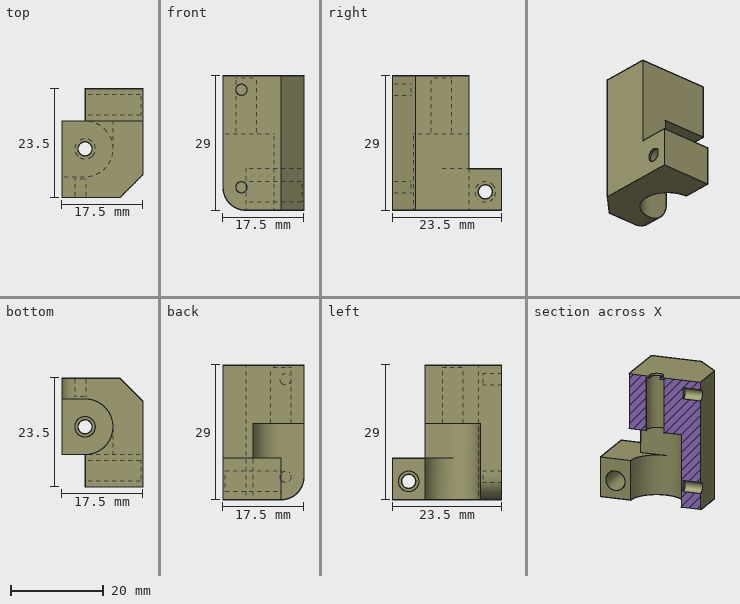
import cadquery as cq

width = 17.5
block_depth = 16.5
height = 29.0
edge_size = 5.0

total_depth = 23.5
tab_height = 9.0
tab_start_x = 5.0

front_wall = 4.5
pocket_height = 16.5
pocket_radius = (block_depth - front_wall) / 2
pocket_x = tab_start_x
pocket_y = front_wall + pocket_radius

bore_diameter = 3.0
counterbore_diameter = 4.4
lip = 0.5
tab_hole_y = (block_depth + total_depth) / 2
tab_hole_z = 4.0
pin_diameter = 2.4
pin_x = 4.0
pin_depth = 4.0
pin_heights = (5.0, 25.98)


def box(x_range, y_range, z_range):
    """Make a box from its (start, end) limits on each axis."""
    (x0, x1), (y0, y1), (z0, z1) = x_range, y_range, z_range
    return cq.Workplane("XY").box(x1 - x0, y1 - y0, z1 - z0, centered=False).translate((x0, y0, z0))


def rod(start, direction, diameter, length):
    """Make a cylinder from its start point along a direction."""
    return cq.Workplane(cq.Solid.makeCylinder(diameter / 2, length, cq.Vector(*start), cq.Vector(*direction)))


def counterbored_hole(start, direction, length):
    """Make a through bore whose counterbore leaves only the lip at its far end."""
    bore = rod(start, direction, bore_diameter, length)
    counterbore = rod(start, direction, counterbore_diameter, length - lip)
    return bore.union(counterbore)


def make_block():
    block = box((0, width), (0, block_depth), (0, height))
    block = block.edges("|Z and >X and <Y").chamfer(edge_size)
    return block.edges("|Y and <X and <Z").fillet(edge_size)


def make_pocket():
    side_opening = box((0, pocket_x), (front_wall, block_depth), (0, pocket_height))
    round_end = rod((pocket_x, pocket_y, 0), (0, 0, 1), 2 * pocket_radius, pocket_height)
    space_above_tab = box(
        (pocket_x, pocket_x + pocket_radius), (pocket_y, block_depth), (tab_height, pocket_height)
    )
    return side_opening.union(round_end).union(space_above_tab)


def make_tab():
    return box((tab_start_x, width), (block_depth, total_depth), (0, tab_height))


result = make_block().cut(make_pocket()).union(make_tab())

bore_start = (pocket_x, pocket_y, pocket_height)
bore_length = height - pocket_height
result = result.cut(counterbored_hole(bore_start, (0, 0, 1), bore_length))

tab_hole_start = (tab_start_x, tab_hole_y, tab_hole_z)
tab_length = width - tab_start_x
result = result.cut(counterbored_hole(tab_hole_start, (1, 0, 0), tab_length))

for pin_z in pin_heights:
    result = result.cut(rod((pin_x, 0, pin_z), (0, 1, 0), pin_diameter, pin_depth))